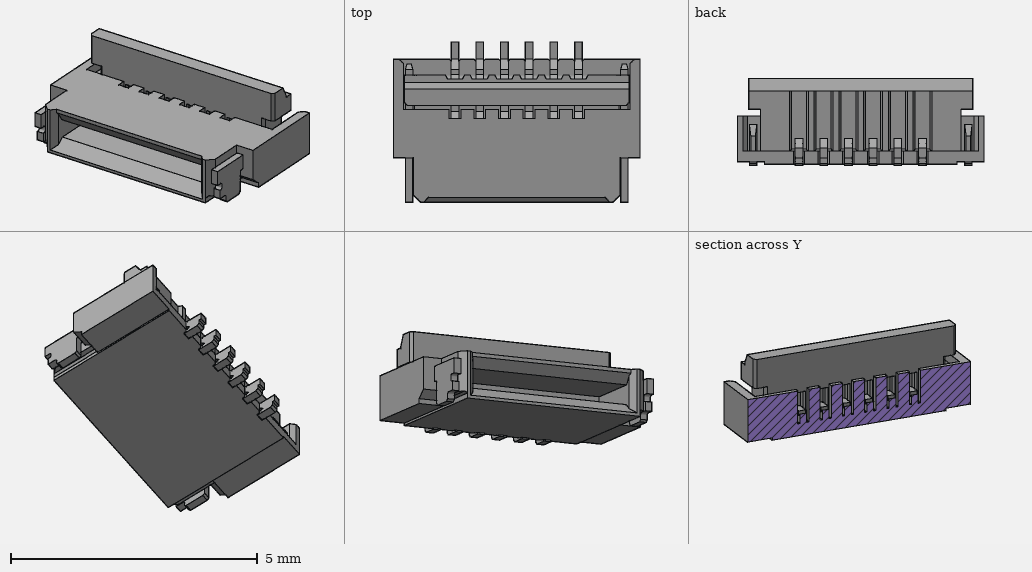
import cadquery as cq
import math


overall_width = 5.0
housing_depth = 2.9
housing_top = 1.01
housing_bottom = 0.03
base_half = 1.95
base_shoulder_z = 0.18
base_bevel = 0.045
block_half = 2.095
wing_half = overall_width / 2
wing_front = 0.9
wing_bottom = 0.08
wing_cut_depth = 0.2
wing_cut_top = 0.34

mouth_half = 1.88
mouth_bevel = 0.115
mouth_bevel_depth = 0.13
mouth_depth = 1.5
mouth_floor_front = 0.095
mouth_floor_knee = 0.31
mouth_floor_back = 0.34
mouth_step_y = 1.0
mouth_knee_y = 0.27
mouth_roof_back = 0.715
mouth_roof_knee_y = 0.25
lip_y = 0.1
lip_bottom = 0.93

recess_half = 2.29
recess_front = 1.875
recess_floor = 0.3
recess_flare = 0.095
arm_pocket_inner = 2.075
arm_pocket_floor = 0.2

actuator_half = 2.27
actuator_neck_half = 2.03
actuator_front = 1.955
actuator_back = 2.575
actuator_bottom = 1.14
actuator_step_z = 1.515
actuator_top = 1.77
actuator_slope_back = 2.425
actuator_slope_foot = 0.015
actuator_slope_front = 2.295
actuator_chamfer = 0.06
notch_depth = 0.08
notch_front = actuator_back - notch_depth
ramp_radius = 0.1
notch_wide = 0.385
notch_narrow = 0.305
window_half = 0.13
window_flare = 0.04
window_depth = 0.15
window_top = 0.9

contact_count = 6
contact_pitch = 0.5
contact_width = 0.16
contact_front = 1.695
contact_back = 3.25
contact_slot_width = 0.24
contact_flare = 0.035
contact_root = recess_floor - 0.05
contact_tip_top = 0.6
contact_tip_back = 1.835
contact_beam_top = 0.55
contact_valley = 0.45
contact_plateau_front = 2.585
contact_plateau_back = 2.685
tail_top = 0.36
tail_step_z = 0.155
tail_heel = 3.2
tail_toe = 2.815
tail_chamfer = 0.05
tail_gap_bottom = 0.085
tail_gap_top = 0.18
tail_gap_depth = 0.05

holddown_inner = 2.105
holddown_thickness = 0.15
holddown_top = 0.835
holddown_step_z = 0.52
holddown_round = 0.045
hook_notch_y = 0.15
hook_top = 0.375
hook_front = 0.08
hook_bottom = 0.18
foot_front = 0.295
foot_back = 0.8
foot_chamfer = 0.045
arm_bottom = arm_pocket_floor - 0.05
arm_shoulder = 2.685
arm_end = 2.8
arm_tip_z = 0.6
arm_tip_inset = 0.03

contact_positions = [(i - (contact_count - 1) / 2) * contact_pitch for i in range(contact_count)]


def box(x0, x1, y0, y1, z0, z1):
    """Axis-aligned block between the given limits."""
    return cq.Workplane("XY").box(x1 - x0, y1 - y0, z1 - z0, centered=False).translate((x0, y0, z0))


def side_profile(points, x_min, width):
    """Extrude a closed (Y, Z) outline along +X."""
    return cq.Workplane("YZ").polyline(points).close().extrude(width).translate((x_min, 0, 0))


def plan_profile(points, z_min, height):
    """Extrude a closed (X, Y) outline upwards."""
    return cq.Workplane("XY").polyline(points).close().extrude(height).translate((0, 0, z_min))


def mirrored_outline(right_side):
    """Complete an outline symmetric about X = 0 from its points on the +X side."""
    return right_side + [(-x, y) for x, y in reversed(right_side)]


def make_housing():
    section = mirrored_outline([
        (base_half, housing_bottom),
        (base_half, base_shoulder_z - base_bevel),
        (base_half + base_bevel, base_shoulder_z),
        (block_half, base_shoulder_z),
        (block_half, housing_top),
    ])
    block = cq.Workplane("XZ").polyline(section).close().extrude(-housing_depth)
    front_chamfer = block_half - base_half
    plan = mirrored_outline([
        (base_half, 0),
        (block_half, front_chamfer),
        (block_half, housing_depth),
    ])
    block = block.intersect(plan_profile(plan, housing_bottom, housing_top))
    wing_outline = [
        (wing_front, housing_top),
        (wing_front, wing_cut_top),
        (wing_front + wing_cut_depth, base_shoulder_z),
        (wing_front + wing_cut_depth, wing_bottom),
        (housing_depth, wing_bottom),
        (housing_depth, housing_top),
    ]
    return block.union(side_profile(wing_outline, -wing_half, overall_width))


def make_mouth():
    inner_half = mouth_half - mouth_bevel
    plan = mirrored_outline([
        (mouth_half, 0),
        (inner_half, mouth_bevel_depth),
        (inner_half, mouth_depth),
    ])
    outline = [
        (0, mouth_floor_front),
        (mouth_knee_y, mouth_floor_knee),
        (mouth_step_y, mouth_floor_knee),
        (mouth_step_y, mouth_floor_back),
        (mouth_depth, mouth_floor_back),
        (mouth_depth, mouth_roof_back),
        (mouth_roof_knee_y, mouth_roof_back),
        (lip_y, lip_bottom),
        (lip_y, housing_top),
        (0, housing_top),
    ]
    height_limits = side_profile(outline, -mouth_half, 2 * mouth_half)
    return plan_profile(plan, 0, housing_top).intersect(height_limits)


def make_recess():
    plan = mirrored_outline([
        (recess_half, recess_front),
        (recess_half, housing_depth - recess_flare),
        (recess_half + recess_flare, housing_depth),
    ])
    recess = plan_profile(plan, recess_floor, housing_top - recess_floor)
    arm_pocket = box(arm_pocket_inner, recess_half, recess_front, actuator_back,
                     arm_pocket_floor, recess_floor)
    return recess.union(arm_pocket).union(arm_pocket.mirror("YZ"))


def make_contact_slot(x):
    half = contact_slot_width / 2
    slot = box(x - half, x + half, contact_front, recess_front, recess_floor, housing_top)
    inner = contact_width / 2
    outer = inner + contact_flare
    flare = [
        (x - outer, housing_depth),
        (x - inner, housing_depth - contact_flare),
        (x + inner, housing_depth - contact_flare),
        (x + outer, housing_depth),
    ]
    return slot.union(plan_profile(flare, housing_bottom, recess_floor - housing_bottom))


def make_actuator():
    outline = [
        (actuator_front, actuator_bottom),
        (actuator_front, actuator_top),
        (actuator_slope_front, actuator_top),
        (actuator_slope_back, actuator_step_z - actuator_slope_foot),
        (actuator_slope_back, actuator_step_z),
        (actuator_back, actuator_step_z),
        (actuator_back, actuator_bottom),
    ]
    bar = side_profile(outline, -actuator_half, 2 * actuator_half)
    neck = box(-actuator_neck_half, actuator_neck_half, actuator_front, actuator_back,
               recess_floor, actuator_bottom)
    bar = bar.edges("|Z and <Y").chamfer(actuator_chamfer)
    neck = neck.edges("|Z and <Y").chamfer(actuator_chamfer)
    return bar.union(neck)


def make_actuator_notch(x):
    """Trapezoidal clearance for a contact in the rear face, with a hollow ramp at its foot."""
    plan = [
        (x - notch_wide / 2, actuator_back),
        (x - notch_narrow / 2, notch_front),
        (x + notch_narrow / 2, notch_front),
        (x + notch_wide / 2, actuator_back),
    ]
    ramp_arc = math.asin(notch_depth / ramp_radius)
    ramp_top = recess_floor + ramp_radius * (1 - math.cos(ramp_arc))
    ramp_middle_y = actuator_back - ramp_radius * math.sin(ramp_arc / 2)
    ramp_middle_z = recess_floor + ramp_radius * (1 - math.cos(ramp_arc / 2))
    height_limits = (
        cq.Workplane("YZ")
        .moveTo(notch_front, actuator_step_z)
        .lineTo(notch_front, ramp_top)
        .threePointArc((ramp_middle_y, ramp_middle_z), (actuator_back, recess_floor))
        .lineTo(actuator_back, actuator_step_z)
        .close()
        .extrude(notch_wide)
        .translate((x - notch_wide / 2, 0, 0))
    )
    return plan_profile(plan, recess_floor, actuator_step_z - recess_floor).intersect(height_limits)


def make_actuator_window(x):
    """Opening in the front face of the neck, flared towards the front."""
    throat_half = window_half - window_flare
    plan = [
        (x - window_half, actuator_front),
        (x - throat_half, actuator_front + window_flare),
        (x - throat_half, actuator_front + window_depth),
        (x + throat_half, actuator_front + window_depth),
        (x + throat_half, actuator_front + window_flare),
        (x + window_half, actuator_front),
    ]
    return plan_profile(plan, recess_floor, window_top - recess_floor)


def make_contact(x):
    outline = [
        (contact_front, contact_root),
        (contact_front, contact_tip_top),
        (contact_tip_back, contact_valley),
        (contact_tip_back, contact_beam_top),
        (notch_front, contact_beam_top),
        (contact_plateau_front, contact_valley),
        (contact_plateau_front, contact_beam_top),
        (contact_plateau_back, contact_beam_top),
        (housing_depth, tail_top),
        (contact_back, tail_top),
        (contact_back, tail_step_z),
        (tail_heel, tail_step_z),
        (tail_heel, tail_chamfer),
        (tail_heel - tail_chamfer, 0),
        (tail_toe, 0),
        (tail_toe, tail_gap_bottom),
        (housing_depth, tail_gap_bottom),
        (housing_depth + tail_gap_depth, (tail_gap_bottom + tail_gap_top) / 2),
        (housing_depth, tail_gap_top),
        (tail_toe, tail_gap_top),
        (tail_toe, contact_root),
    ]
    return side_profile(outline, x - contact_width / 2, contact_width)


def make_holddown():
    """Right-hand hold-down: a front plate with a solder foot and an arm running to the rear."""
    plate_back = wing_front + wing_cut_depth
    plate = [
        (0, holddown_top),
        (0, holddown_step_z),
        (hook_notch_y, holddown_step_z),
        (hook_notch_y, hook_top),
        (hook_front, hook_top),
        (hook_front, hook_bottom),
        (foot_front, hook_bottom),
        (foot_front, 0),
        (foot_back, 0),
        (foot_back, holddown_step_z),
        (plate_back, holddown_step_z),
        (plate_back, holddown_top),
    ]
    plate = side_profile(plate, holddown_inner, holddown_thickness)
    rounded = [
        (hook_notch_y, holddown_step_z),
        (hook_notch_y, hook_top),
        (foot_front, hook_bottom),
        (foot_back, holddown_step_z),
    ]
    middle_x = holddown_inner + holddown_thickness / 2
    for y, z in rounded:
        corner = cq.selectors.NearestToPointSelector((middle_x, y, z))
        plate = plate.edges("|X").edges(corner).fillet(holddown_round)
    for y in (foot_front, foot_back):
        corner = cq.selectors.NearestToPointSelector((middle_x, y, 0))
        plate = plate.edges("|X").edges(corner).chamfer(foot_chamfer)

    arm_outline = [
        (plate_back, arm_bottom),
        (plate_back, holddown_top),
        (arm_shoulder, holddown_top),
        (arm_end, arm_tip_z),
        (arm_end, arm_bottom),
    ]
    outer = holddown_inner + holddown_thickness
    arm_plan = [
        (holddown_inner, plate_back),
        (holddown_inner, arm_shoulder),
        (holddown_inner + arm_tip_inset, arm_end),
        (outer - arm_tip_inset, arm_end),
        (outer, arm_shoulder),
        (outer, plate_back),
    ]
    arm = side_profile(arm_outline, holddown_inner, holddown_thickness)
    arm = arm.intersect(plan_profile(arm_plan, 0, holddown_top))
    return plate.union(arm)


housing = make_housing().cut(make_mouth()).cut(make_recess())
actuator = make_actuator()
for x in contact_positions:
    housing = housing.cut(make_contact_slot(x))
    actuator = actuator.cut(make_actuator_notch(x)).cut(make_actuator_window(x))

result = housing.union(actuator)
for x in contact_positions:
    result = result.union(make_contact(x))
holddown = make_holddown()
result = result.union(holddown).union(holddown.mirror("YZ"))